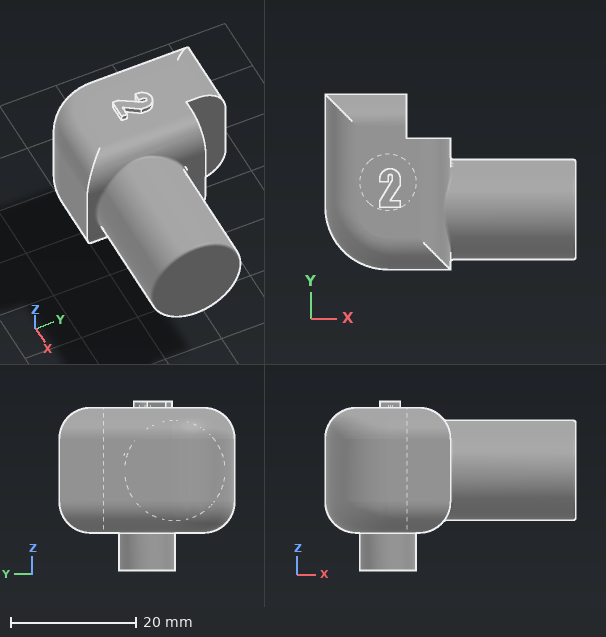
import cadquery as cq

body_width = 20.0
body_depth = 28.0
body_height = 20.0
corner_radius = 10.0
edge_radius = 5.0

notch_width = 7.0
notch_depth = 7.0

sleeve_diameter = 16.0
sleeve_end_x = 40.0
sleeve_y = 9.6
sleeve_z = body_height / 2
sleeve_end_fillet = 0.5
sleeve_root_fillet = 0.5

pin_diameter = 9.0
pin_length = 6.0
pin_x = body_width / 2
pin_y = body_depth / 2

numeral_height = 1.0
numeral_left = 8.7
numeral_right = 12.0
numeral_base_y = 10.0
numeral_top_y = 16.1
numeral_middle_x = (numeral_left + numeral_right) / 2
numeral_stroke = 1.0
hook_end_y = 14.0
hook_end_x = 10.1
hook_inner_right = 10.7
hook_inner_y = 14.9
hook_inner_radius = (hook_inner_right - hook_end_x) / 2
bowl_radius = (numeral_right - numeral_left) / 2
bowl_y = numeral_top_y - bowl_radius

position_tolerance = 0.005


def make_housing():
    """Block with rounded top and bottom rims and a square step at the rear."""
    block = (
        cq.Workplane("XY")
        .box(body_width, body_depth, body_height, centered=False)
        .edges("|Z and <X and <Y")
        .fillet(corner_radius)
        .faces("<Z or >Z")
        .edges()
        .fillet(edge_radius)
    )
    notch = (
        cq.Workplane("XY")
        .box(notch_width, notch_depth, body_height, centered=False)
        .translate((body_width - notch_width, body_depth - notch_depth, 0))
    )
    return block.cut(notch)


def make_sleeve():
    """Round bar along X, starting inside the housing, with a rounded free end."""
    start_x = body_width / 2
    return (
        cq.Workplane("YZ", origin=(start_x, sleeve_y, sleeve_z))
        .circle(sleeve_diameter / 2)
        .extrude(sleeve_end_x - start_x)
        .faces(">X")
        .fillet(sleeve_end_fillet)
    )


def make_pin():
    """Round pin reaching up to the middle of the housing."""
    return (
        cq.Workplane("XY", origin=(pin_x, pin_y, -pin_length))
        .circle(pin_diameter / 2)
        .extrude(pin_length + body_height / 2)
    )


def make_numeral():
    """Raised digit 2: round bowl, sloping stem and flat foot."""
    return (
        cq.Workplane("XY", origin=(0, 0, body_height))
        .moveTo(numeral_left, numeral_base_y)
        .lineTo(numeral_right, numeral_base_y)
        .lineTo(numeral_right, numeral_base_y + numeral_stroke)
        .lineTo(numeral_middle_x, numeral_base_y + numeral_stroke)
        .lineTo(numeral_right, bowl_y - numeral_stroke)
        .lineTo(numeral_right, bowl_y)
        .threePointArc((numeral_middle_x, numeral_top_y), (numeral_left, bowl_y))
        .lineTo(numeral_left, hook_end_y)
        .lineTo(hook_end_x, hook_end_y)
        .lineTo(hook_end_x, hook_inner_y)
        .threePointArc(
            (hook_end_x + hook_inner_radius, hook_inner_y + hook_inner_radius),
            (hook_inner_right, hook_inner_y),
        )
        .lineTo(hook_inner_right, hook_end_y + hook_inner_radius)
        .lineTo(numeral_left, numeral_base_y + numeral_stroke)
        .close()
        .extrude(numeral_height)
    )


def is_root_edge(edge):
    """True for an edge lying on the sleeve surface near the housing wall."""
    point = edge.positionAt(0.5)
    distance = ((point.y - sleeve_y) ** 2 + (point.z - sleeve_z) ** 2) ** 0.5
    on_sleeve = abs(distance - sleeve_diameter / 2) < position_tolerance
    return on_sleeve and point.x < body_width + position_tolerance


elbow = make_housing().union(make_sleeve())
root_edges = [edge for edge in elbow.edges().vals() if is_root_edge(edge)]
elbow = elbow.newObject(root_edges).fillet(sleeve_root_fillet)

result = elbow.union(make_pin()).union(make_numeral())